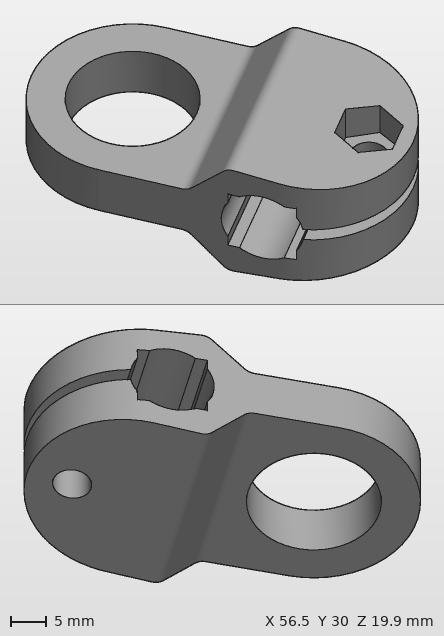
import cadquery as cq
import math

length = 56.5
width = 30.0
end_radius = width / 2
end_center_x = length / 2 - end_radius

arm_thickness = 8.0
ramp_start_x = -0.3
ramp_angle = 45.0
ramp_top_z = 10.0
clamp_end_z = 8.15
bend_radius = 2.1

eye_diameter = 19.0

bore_x = 10.75
bore_diameter = 12.05
square_side = 10.05
slit_height = 2.0

bolt_x = 21.7
bolt_diameter = 5.5
nut_across_flats = 8.55
nut_floor_z = 3.4


def make_body():
    """Extrude the side profile across Y, round its bends and trim it to the plan outline."""
    arm_z = arm_thickness / 2
    ramp_end_x = ramp_start_x + (ramp_top_z - arm_z) / math.tan(math.radians(ramp_angle))
    upper_points = [
        (-length / 2, arm_z),
        (ramp_start_x, arm_z),
        (ramp_end_x, ramp_top_z),
        (length / 2, clamp_end_z),
    ]
    lower_points = [(x, -z) for x, z in reversed(upper_points)]
    profile = cq.Workplane("XZ").polyline(upper_points + lower_points).close()
    body = profile.extrude(width / 2, both=True)

    bends = cq.selectors.BoxSelector(
        (ramp_start_x - 0.55, -width, -length),
        (ramp_end_x + 0.55, width, length),
    )
    body = body.edges("|Y").edges(bends).fillet(bend_radius)

    outline = cq.Workplane("XY").slot2D(length, width).extrude(length / 2, both=True)
    return body.intersect(outline)


def through_hole(x, diameter):
    """Vertical cylinder on the X axis, taller than the part."""
    base = cq.Workplane("XY").workplane(offset=-length / 2)
    return base.center(x, 0).circle(diameter / 2).extrude(length)


def make_clamp_opening():
    """Round and square bores along Y, plus the slit that runs out of the +X end."""
    section = cq.Workplane("XZ", origin=(bore_x, width, 0))
    round_bore = section.circle(bore_diameter / 2).extrude(2 * width)
    square_bore = section.rect(square_side, square_side).extrude(2 * width)
    slit = cq.Workplane("XY").box(length, 2 * width, slit_height)
    slit = slit.translate((bore_x + length / 2, 0, 0))
    return round_bore.union(square_bore).union(slit)


def make_nut_pocket():
    """Hexagonal pocket open at the top, with two flats facing along X."""
    across_corners = nut_across_flats / math.cos(math.radians(30))
    hexagon = cq.Workplane("XY").polygon(6, across_corners).extrude(ramp_top_z)
    return hexagon.rotate((0, 0, 0), (0, 0, 1), 30).translate((bolt_x, 0, nut_floor_z))


result = (
    make_body()
    .cut(through_hole(-end_center_x, eye_diameter))
    .cut(make_clamp_opening())
    .cut(through_hole(bolt_x, bolt_diameter))
    .cut(make_nut_pocket())
)